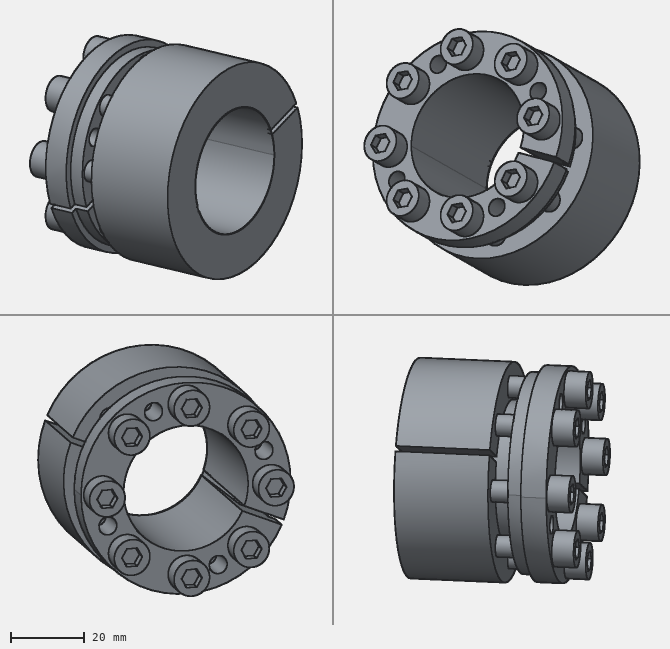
import cadquery as cq
import math


head_length = 6.0
flange_length = 7.0
step_length = 4.0
gap_length = 5.0
ring_length = 26.0
flange_start = head_length
step_start = flange_start + flange_length
step_end = step_start + step_length
ring_start = step_end + gap_length
ring_end = ring_start + ring_length

bore_diameter = 35.0
flange_diameter = 59.0
step_diameter = 55.0
ring_diameter = 60.0

cone_end_radius = 17.7
cone_slope = math.tan(math.radians(4.5))

slit_width = 1.5
sleeve_slit_angle = -22.5
ring_slit_angle = sleeve_slit_angle + 180

screw_count = 8
screw_circle_radius = 23.75
screw_diameter = 6.0
head_diameter = 10.0
socket_across_flats = 5.0
socket_depth = 3.0
shank_length = 35.0
screw_end = head_length + shank_length

jacking_count = 4
jacking_diameter = 5.0
jacking_first_angle = 22.5


def cone_radius(x):
    """Radius of the taper at a station along the axis."""
    return cone_end_radius + (ring_end - x) * cone_slope


def cylinder(diameter, start, end):
    """Solid cylinder on the X axis between two stations."""
    return cq.Workplane("YZ", origin=(start, 0, 0)).circle(diameter / 2).extrude(end - start)


def place(body, radius, angle):
    """Move a body off the axis; the angle turns from -Y towards +Z."""
    turn = math.radians(angle)
    return body.translate((0, -radius * math.cos(turn), radius * math.sin(turn)))


def cone(start):
    """Taper from a station to the far end of the ring."""
    profile = [
        (start, 0),
        (start, cone_radius(start)),
        (ring_end, cone_end_radius),
        (ring_end, 0),
    ]
    return cq.Workplane("XY").polyline(profile).close().revolve(360, (0, 0, 0), (1, 0, 0))


def slit(angle):
    """Radial slot cutter from the axis outward, over the full length."""
    cutter = cq.Workplane("XY").box(ring_end, ring_diameter, slit_width, centered=(False, False, True))
    cutter = cutter.translate((0, -ring_diameter, 0))
    return cutter.rotate((0, 0, 0), (1, 0, 0), -angle)


def spread(body, radius, count, first_angle):
    """Copies of a body, evenly spaced around the axis."""
    return [place(body, radius, first_angle + i * 360 / count) for i in range(count)]


def make_screw():
    """Socket-head screw on the X axis."""
    head = cylinder(head_diameter, 0, head_length)
    shank = cylinder(screw_diameter, head_length, screw_end)
    socket_corner_diameter = socket_across_flats / math.cos(math.pi / 6)
    socket = cq.Workplane("YZ").polygon(6, socket_corner_diameter).extrude(socket_depth)
    return head.union(shank).cut(socket)


def cut_screw_holes(body):
    """Remove the screw shanks from a body."""
    shank = cylinder(screw_diameter, flange_start, screw_end)
    for hole in spread(shank, screw_circle_radius, screw_count, 0):
        body = body.cut(hole)
    return body


def make_sleeve():
    """Flanged cone sleeve with its slit, screw holes and jacking holes."""
    sleeve = cylinder(flange_diameter, flange_start, step_start)
    sleeve = sleeve.union(cylinder(step_diameter, step_start, step_end))
    sleeve = sleeve.union(cone(step_end))
    sleeve = sleeve.cut(cylinder(bore_diameter, 0, ring_end))
    sleeve = cut_screw_holes(sleeve)
    jacking_hole = cylinder(jacking_diameter, flange_start, step_end)
    for hole in spread(jacking_hole, screw_circle_radius, jacking_count, jacking_first_angle):
        sleeve = sleeve.cut(hole)
    return sleeve.cut(slit(sleeve_slit_angle))


def make_ring():
    """Outer ring with a tapered bore, blind screw holes and its slit."""
    ring = cylinder(ring_diameter, ring_start, ring_end)
    ring = ring.cut(cone(ring_start))
    ring = cut_screw_holes(ring)
    return ring.cut(slit(ring_slit_angle))


sleeve = make_sleeve()
ring = make_ring()
screws = spread(make_screw(), screw_circle_radius, screw_count, 0)

result = cq.Compound.makeCompound([sleeve.val(), ring.val(), *[screw.val() for screw in screws]])